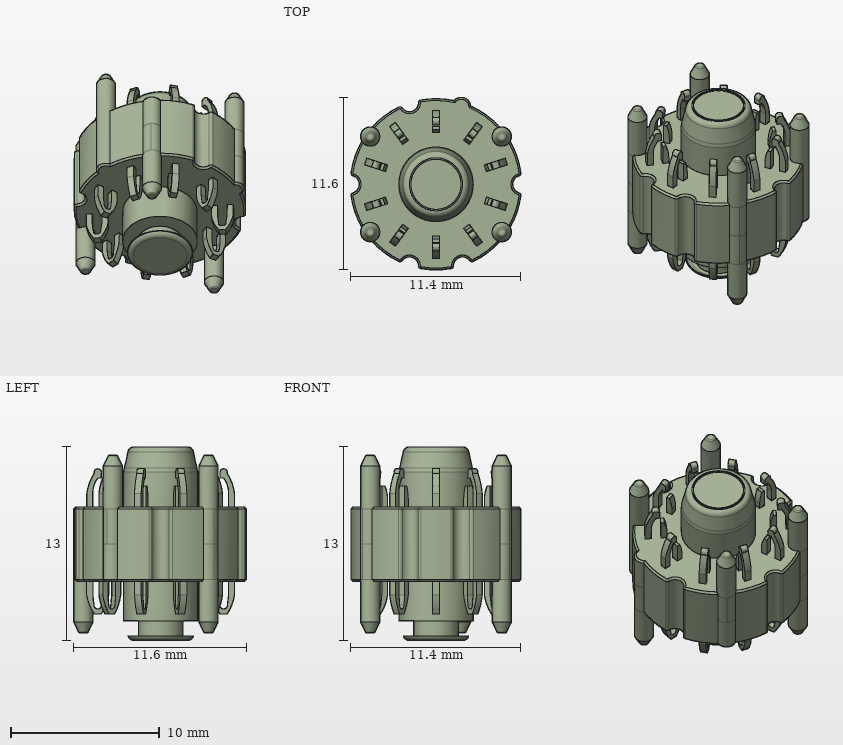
import cadquery as cq
import math

body_radius = 5.76
body_height = 5.0
body_chamfer = 0.13

station_angle = 36
upper_pin_stations = (1, 4, 6, 9)
lower_pin_stations = (2, 6, 9)
notch_stations = (0, 3, 5, 7, 8)

notch_radius = 0.6
notch_centre_radius = 5.76
notch_corner_fillet = 0.2

pin_circle_radius = 5.46
pin_diameter = 1.3
pin_tip_diameter = 0.6
pin_taper_length = 0.73
pin_tip_fillet = 0.12
pin_top = 8.48
pin_bottom = -3.46

shaft_diameter = 5.0
shaft_bottom = -2.65
shaft_cone_base = 7.6
shaft_cone_base_diameter = 4.9
shaft_cone_start = 7.33
cap_top = 9.04
cap_shoulder_height = 0.34
cap_shoulder_diameter = 4.42
ring_outer_diameter = 3.56
ring_inner_diameter = 3.37
ring_depth = 0.06

stem_diameter = 3.0
overall_height = 13
flange_diameter = 4.4
flange_floor_diameter = 3.61
flange_floor_thickness = 0.1
flange_rim_width = 0.05
flange_height = 0.3
flange_bottom = cap_top - overall_height

contact_count = 10
contact_thickness = 0.47
contact_centre_radius = 4.22
contact_half_width = 0.74
contact_slot_half_width = 0.32
contact_straight = 0.91
loop_depth = 2.2
loop_slot_depth = 1.85
loop_bow_half_width = 0.57
loop_bow_depth = 1.55
loop_tip_half_width = 0.23
loop_slot_end_half_width = 0.25
hook_height = 2.56
hook_tip_height = 2.25
hook_underside = 1.92
hook_bow_height = 1.59
hook_outer_bow_offset = 0.57
hook_inner_bow_offset = 0.2
hook_tip_half_width = 0.25
inner_arm_height = 1.42
inner_arm_tip_width = 0.22


def at_station(shape, station, radius):
    """Move a shape from the Z axis out along +X, then swing it round to its station."""
    return shape.translate((radius, 0, 0)).rotate((0, 0, 0), (0, 0, 1), station * station_angle)


def make_body():
    """Notched round body with a chamfered lobe at every pin station."""
    body = cq.Workplane("XY").circle(body_radius).extrude(body_height)
    notch = cq.Workplane("XY").circle(notch_radius).extrude(body_height)
    for station in notch_stations:
        body = body.cut(at_station(notch, station, notch_centre_radius))
    body = body.edges("|Z").fillet(notch_corner_fillet)
    body = body.faces("<Z or >Z").chamfer(body_chamfer)
    lobe = (
        cq.Workplane("XY")
        .circle(pin_diameter / 2)
        .extrude(body_height)
        .faces("<Z or >Z")
        .chamfer(body_chamfer)
    )
    for station in sorted({*upper_pin_stations, *lower_pin_stations}):
        body = body.union(at_station(lobe, station, pin_circle_radius))
    return body


def make_pin(end_height):
    """Round pin from mid-height of the body to a tapered, blunted tip at the given height."""
    radius = pin_diameter / 2
    tip_radius = pin_tip_diameter / 2
    root_height = body_height / 2
    taper_start = end_height - math.copysign(pin_taper_length, end_height)
    pin = (
        cq.Workplane("XZ")
        .moveTo(0, root_height)
        .lineTo(radius, root_height)
        .lineTo(radius, taper_start)
        .lineTo(tip_radius, end_height)
        .lineTo(0, end_height)
        .close()
        .revolve(360, (0, 0), (0, 1))
    )
    tip_face = ">Z" if end_height > root_height else "<Z"
    return pin.faces(tip_face).edges().fillet(pin_tip_fillet)


def make_shaft():
    """Central shaft with a rounded conical cap, and a stem ending in a dished flange."""
    shoulder = cap_top - cap_shoulder_height
    rim_height = flange_bottom + flange_height
    floor_height = flange_bottom + flange_floor_thickness
    rim_radius = flange_diameter / 2
    lip_run = rim_radius - flange_rim_width - flange_floor_diameter / 2
    lip_rise = rim_height - floor_height
    lip_arc_radius = (lip_run**2 + lip_rise**2) / (2 * lip_rise)
    shaft = (
        cq.Workplane("XZ")
        .moveTo(0, flange_bottom)
        .lineTo(flange_floor_diameter / 2, flange_bottom)
        .tangentArcPoint((rim_radius, rim_height), relative=False)
        .lineTo(rim_radius - flange_rim_width, rim_height)
        .radiusArc((flange_floor_diameter / 2, floor_height), lip_arc_radius)
        .lineTo(stem_diameter / 2, floor_height)
        .lineTo(stem_diameter / 2, shaft_bottom)
        .lineTo(shaft_diameter / 2, shaft_bottom)
        .lineTo(shaft_diameter / 2, shaft_cone_start)
        .lineTo(shaft_cone_base_diameter / 2, shaft_cone_base)
        .lineTo(cap_shoulder_diameter / 2, shoulder)
        .tangentArcPoint((ring_outer_diameter / 2, cap_top), relative=False)
        .lineTo(0, cap_top)
        .close()
        .revolve(360, (0, 0), (0, 1))
    )
    ring = (
        cq.Workplane("XY", origin=(0, 0, cap_top - ring_depth))
        .circle(ring_outer_diameter / 2)
        .circle(ring_inner_diameter / 2)
        .extrude(ring_depth)
    )
    return shaft.cut(ring)


def make_contact():
    """Flat spring contact in the XZ plane: closed loop below, hook and short arm above."""
    outer = contact_half_width
    slot = contact_slot_half_width
    bend_top = body_height + contact_straight
    plate = cq.Workplane("XZ", origin=(contact_centre_radius, contact_thickness / 2, 0))

    loop = (
        plate.moveTo(outer, body_height)
        .lineTo(outer, -contact_straight)
        .threePointArc((loop_bow_half_width, -loop_bow_depth), (loop_tip_half_width, -loop_depth))
        .lineTo(-loop_tip_half_width, -loop_depth)
        .threePointArc((-loop_bow_half_width, -loop_bow_depth), (-outer, -contact_straight))
        .lineTo(-outer, body_height)
        .close()
        .extrude(contact_thickness)
    )
    loop_slot = (
        plate.moveTo(slot, 0)
        .lineTo(slot, -contact_straight)
        .lineTo(loop_slot_end_half_width, -loop_slot_depth + loop_slot_end_half_width)
        .threePointArc(
            (0, -loop_slot_depth),
            (-loop_slot_end_half_width, -loop_slot_depth + loop_slot_end_half_width),
        )
        .lineTo(-slot, -contact_straight)
        .lineTo(-slot, 0)
        .close()
        .extrude(contact_thickness)
    )
    hook = (
        plate.moveTo(slot, body_height)
        .lineTo(outer, body_height)
        .lineTo(outer, bend_top)
        .threePointArc(
            (hook_outer_bow_offset, body_height + hook_bow_height),
            (hook_tip_half_width, body_height + hook_tip_height),
        )
        .threePointArc(
            (0, body_height + hook_height),
            (-hook_tip_half_width, body_height + hook_tip_height),
        )
        .lineTo(-hook_tip_half_width, body_height + hook_underside)
        .lineTo(0, body_height + hook_underside)
        .threePointArc((hook_inner_bow_offset, body_height + hook_bow_height), (slot, bend_top))
        .close()
        .extrude(contact_thickness)
    )
    inner_arm = (
        plate.moveTo(-outer, body_height)
        .lineTo(-outer, body_height + contact_straight / 2)
        .tangentArcPoint((-slot - inner_arm_tip_width, body_height + inner_arm_height), relative=False)
        .lineTo(-slot, body_height + inner_arm_height)
        .lineTo(-slot, body_height)
        .close()
        .extrude(contact_thickness)
    )
    return loop.cut(loop_slot).union(hook).union(inner_arm)


result = make_body().union(make_shaft())

upper_pin = make_pin(pin_top)
for station in upper_pin_stations:
    result = result.union(at_station(upper_pin, station, pin_circle_radius))

lower_pin = make_pin(pin_bottom)
for station in lower_pin_stations:
    result = result.union(at_station(lower_pin, station, pin_circle_radius))

contact = make_contact()
for index in range(contact_count):
    angle = station_angle * (index + 0.5)
    result = result.union(contact.rotate((0, 0, 0), (0, 0, 1), angle))

result = result.clean()